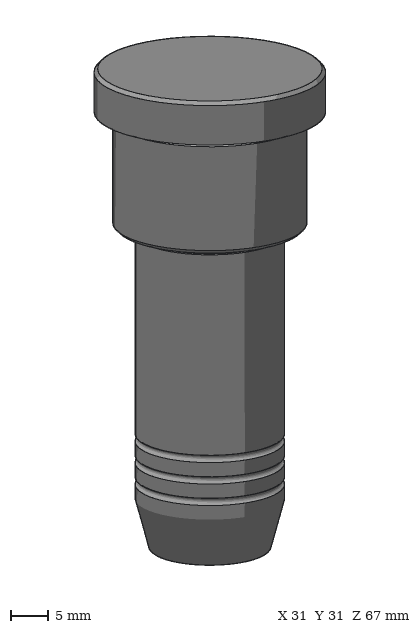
import math

import cadquery as cq

TOTAL_LENGTH = 67.0
HEAD_HEIGHT = 6.0
COLLAR_HEIGHT = 16.0
TAPER_LENGTH = 7.0

HEAD_RADIUS = 31.0 / 2
COLLAR_RADIUS = 26.0 / 2
STEM_RADIUS = 20.0 / 2

EDGE_CHAMFER = 0.5
TIP_FILLET = 0.5
TAPER_ANGLE = 15.0

RELIEF_WIDTH = 1.0
RELIEF_DEPTH = 0.5

GROOVE_RADIUS = 0.5
GROOVE_COUNT = 3
GROOVE_PITCH = 3.0
LOWEST_GROOVE_ABOVE_TAPER = 2.5

HEAD_BOTTOM = TOTAL_LENGTH - HEAD_HEIGHT
COLLAR_BOTTOM = HEAD_BOTTOM - COLLAR_HEIGHT


def cylinder(radius, bottom, top):
    """Cylinder about Z between two levels."""
    return cq.Workplane("XY").workplane(offset=bottom).circle(radius).extrude(top - bottom)


def revolved(section):
    """Solid swept by turning a closed XZ section about Z."""
    return section.revolve(360, (0, 0), (0, 1))


def round_ring(radius, groove_radius, level):
    """Half-round ring that cuts a groove into a cylinder, centred on the given level."""
    section = (
        cq.Workplane("XZ")
        .moveTo(radius, level - groove_radius)
        .threePointArc((radius - groove_radius, level), (radius, level + groove_radius))
        .close()
    )
    return revolved(section)


def make_head():
    return cylinder(HEAD_RADIUS, HEAD_BOTTOM, TOTAL_LENGTH).faces(">Z").edges().chamfer(EDGE_CHAMFER)


def make_collar():
    collar = cylinder(COLLAR_RADIUS, COLLAR_BOTTOM, HEAD_BOTTOM)
    collar = collar.faces("<Z").edges().chamfer(EDGE_CHAMFER)
    groove = round_ring(COLLAR_RADIUS, GROOVE_RADIUS, HEAD_BOTTOM - GROOVE_RADIUS)
    return collar.cut(groove)


def make_stem():
    shoulder = COLLAR_BOTTOM - RELIEF_WIDTH
    stem = cylinder(STEM_RADIUS, TAPER_LENGTH, shoulder)
    for index in range(GROOVE_COUNT):
        level = TAPER_LENGTH + LOWEST_GROOVE_ABOVE_TAPER + index * GROOVE_PITCH
        stem = stem.cut(round_ring(STEM_RADIUS, GROOVE_RADIUS, level))
    neck = cylinder(STEM_RADIUS - RELIEF_DEPTH, shoulder, COLLAR_BOTTOM)
    return stem.union(neck)


def make_tip():
    tip_radius = STEM_RADIUS - TAPER_LENGTH * math.tan(math.radians(TAPER_ANGLE))
    outline = [(0, 0), (tip_radius, 0), (STEM_RADIUS, TAPER_LENGTH), (0, TAPER_LENGTH)]
    tip = revolved(cq.Workplane("XZ").polyline(outline).close())
    return tip.faces("<Z").edges().fillet(TIP_FILLET)


result = make_head().union(make_collar()).union(make_stem()).union(make_tip())